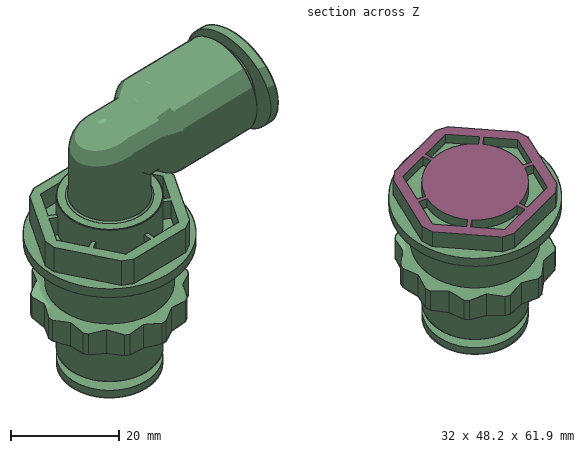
import cadquery as cq
import math


barrel_radius = 9.9
collar_radius = 9.85
neck_radius = 7.2
edge_chamfer = 0.25
hub_chamfer = 0.1
collar_chamfer = 0.3
oval_half_width = 11.4

collar_top = 2.1
barrel_bottom = 4.1
barrel_top = 12.1
nut_bottom = 14.2
nut_top = 20.2
flange_bottom = 30.0
flange_top = 32.1
hex_top = 38.05
hub_top = 41.3
skirt_top = 43.75
total_height = 61.9
port_axis_z = total_height - collar_radius

sleeve_radius = 12.0
flange_diameter = 32.0
flange_radius = flange_diameter / 2

nut_radius = 14.85
nut_face_radius = 13.0
nut_chamfer_height = 0.5
tooth_count = 12
tooth_tip_width = 1.05
valley_radius = 13.55

hex_across_flats = 27.35
hex_across_corners = 30.2
hex_wall = 2.1
cup_floor = 33.8
rib_width = 0.85
rib_count = 6
hex_half_angle = 30

elbow_radius = 7.6
skirt_radius = 7.8
foot_radius = 8.2
foot_height = 0.3
taper_start = 7.55
taper_end = 10.45
taper_fillet = 0.85
port_barrel_end = 28.2
port_collar_start = 30.1
total_depth = 48.2
port_end = total_depth - flange_radius


def disc(radius, bottom, top):
    return cq.Workplane("XY").workplane(offset=bottom).circle(radius).extrude(top - bottom)


def hexagon(across_flats, bottom, top, corner_angle):
    """Hexagonal prism with one corner at the given angle from +X."""
    corner_diameter = across_flats / math.cos(math.radians(hex_half_angle))
    prism = cq.Workplane("XY").workplane(offset=bottom).polygon(6, corner_diameter).extrude(top - bottom)
    return prism.rotate((0, 0, 0), (0, 0, 1), corner_angle)


def make_lower_body():
    collar = disc(collar_radius, 0, collar_top).faces("<Z").edges().chamfer(collar_chamfer)
    neck = disc(neck_radius, collar_top, barrel_bottom)
    barrel = disc(barrel_radius, barrel_bottom, barrel_top).faces("<Z").edges().chamfer(edge_chamfer)
    sleeve = (
        cq.Workplane("XZ")
        .moveTo(0, barrel_top)
        .lineTo(barrel_radius, barrel_top)
        .lineTo(sleeve_radius, nut_bottom)
        .lineTo(sleeve_radius, flange_bottom)
        .lineTo(0, flange_bottom)
        .close()
        .revolve(360, (0, 0), (0, 1))
    )
    flange = disc(flange_radius, flange_bottom, flange_top)
    return collar.union(neck).union(barrel).union(sleeve).union(flange)


def make_nut():
    """Ring nut with V-shaped valleys between its teeth and coned end faces."""
    pitch = 2 * math.pi / tooth_count
    half_tip = math.asin(tooth_tip_width / 2 / nut_radius)
    points = []
    for tooth in range(tooth_count):
        middle = tooth * pitch
        for radius, angle in (
            (nut_radius, middle - half_tip),
            (nut_radius, middle + half_tip),
            (valley_radius, middle + pitch / 2),
        ):
            points.append((radius * math.cos(angle), radius * math.sin(angle)))
    teeth = (
        cq.Workplane("XY")
        .workplane(offset=nut_bottom)
        .polyline(points)
        .close()
        .extrude(nut_top - nut_bottom)
    )
    coned_blank = (
        cq.Workplane("XZ")
        .moveTo(0, nut_bottom)
        .lineTo(nut_face_radius, nut_bottom)
        .lineTo(nut_radius, nut_bottom + nut_chamfer_height)
        .lineTo(nut_radius, nut_top - nut_chamfer_height)
        .lineTo(nut_face_radius, nut_top)
        .lineTo(0, nut_top)
        .close()
        .revolve(360, (0, 0), (0, 1))
    )
    return teeth.intersect(coned_blank)


def make_hex_cup():
    """Hexagonal cup with flattened corners, joined to the central hub by radial ribs."""
    outer = hexagon(hex_across_flats, flange_top, hex_top, hex_half_angle)
    corner_flats = hexagon(hex_across_corners, flange_top, hex_top, 0)
    inner_across_flats = hex_across_flats - 2 * hex_wall
    cavity = hexagon(inner_across_flats, cup_floor, hex_top, hex_half_angle)
    cup = outer.intersect(corner_flats).cut(cavity)
    rib_length = (inner_across_flats + hex_wall) / 2
    for index in range(rib_count):
        rib = (
            cq.Workplane("XY")
            .box(rib_length, rib_width, hex_top - cup_floor, centered=(False, True, False))
            .translate((0, 0, cup_floor))
            .rotate((0, 0, 0), (0, 0, 1), index * 360 / rib_count)
        )
        cup = cup.union(rib)
    hub = disc(barrel_radius, flange_top, hub_top).faces(">Z").edges().chamfer(hub_chamfer)
    return cup.union(hub)


def make_elbow():
    """Vertical leg with a tapered skirt, closed at the corner by a sphere."""
    leg = (
        cq.Workplane("XZ")
        .moveTo(0, hub_top)
        .lineTo(foot_radius, hub_top)
        .lineTo(skirt_radius, hub_top + foot_height)
        .lineTo(elbow_radius, skirt_top)
        .lineTo(elbow_radius, port_axis_z)
        .lineTo(0, port_axis_z)
        .close()
        .revolve(360, (0, 0), (0, 1))
    )
    corner = cq.Workplane("XY").sphere(elbow_radius).translate((0, 0, port_axis_z))
    return leg.union(corner)


def make_port():
    """Horizontal leg, barrel and oval release collar along +Y."""
    turned = (
        cq.Workplane("XY")
        .lineTo(elbow_radius, 0)
        .lineTo(elbow_radius, taper_start)
        .lineTo(collar_radius, taper_end)
        .lineTo(collar_radius, port_barrel_end - edge_chamfer)
        .lineTo(collar_radius - edge_chamfer, port_barrel_end)
        .lineTo(neck_radius, port_barrel_end)
        .lineTo(neck_radius, port_collar_start)
        .lineTo(0, port_collar_start)
        .close()
        .revolve(360, (0, 0), (0, 1))
    )
    taper_ends = cq.selectors.BoxSelector(
        (-oval_half_width, taper_start - edge_chamfer, -oval_half_width),
        (oval_half_width, taper_end + edge_chamfer, oval_half_width),
    )
    turned = turned.edges(taper_ends).edges("%CIRCLE").fillet(taper_fillet)
    collar = (
        cq.Workplane("XZ")
        .workplane(offset=-port_end)
        .ellipse(oval_half_width, collar_radius)
        .extrude(port_end - port_collar_start)
        .faces(">Y")
        .edges()
        .chamfer(collar_chamfer)
    )
    return turned.union(collar).translate((0, 0, port_axis_z))


result = (
    make_lower_body()
    .union(make_nut())
    .union(make_hex_cup())
    .union(make_elbow())
    .union(make_port())
)